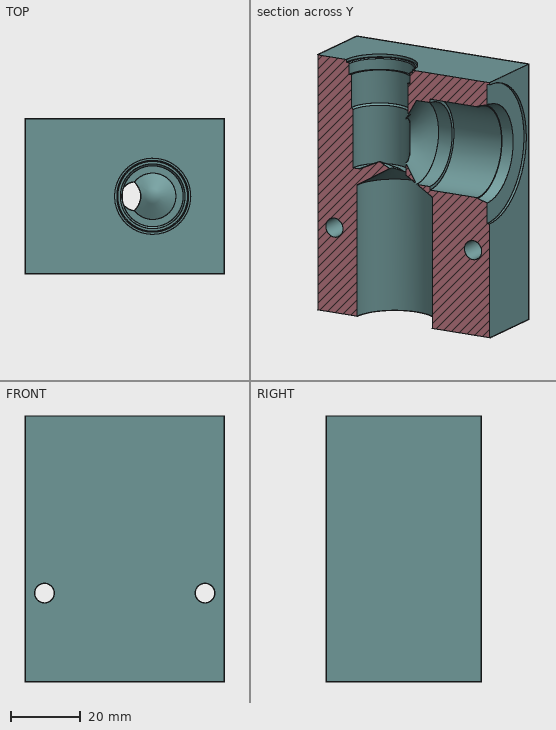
import cadquery as cq
import math

length_x = 57.15
width_y = 44.45
height_z = 76.2
left_x = -length_x / 2
top_z = height_z / 2
bottom_z = -height_z / 2

drill_half_angle = math.radians(59)
drill_slope = 1 / math.tan(drill_half_angle)

mount_diameter = 5.56
mount_spacing = 46.0
mount_height = 25.4

side_axis_z = top_z - 21.43
side_spotface_diameter = 41.45
side_spotface_depth = 0.8
side_mouth_diameter = 29.2
side_seal_diameter = 27.43
side_thread_diameter = 26.99
side_bore_diameter = 24.92
side_seal_depth = 4.0
side_thread_depth = 19.8
side_bore_depth = 24.3

cavity_x = 8.0
cavity_mouth_diameter = 21.82
cavity_mouth_depth = 0.8
cavity_lead_in_diameter = 20.62
cavity_seat_diameter = 19.99
cavity_seat_depth = 4.3
cavity_body_diameter = 18.54
cavity_body_depth = 14.1
cavity_nose_diameter = 17.45
cavity_nose_depth = 32.0
cavity_floor_cone_diameter = 13.3
cavity_floor_cone_height = 3.15

bottom_port_x = 3.0
bottom_port_diameter = side_bore_diameter
floor_opening_radius = 4.1


def drill_rise(diameter):
    """Height of a drill point over the given diameter."""
    return diameter / 2 * drill_slope


def turned_tool(profile):
    """Solid of revolution about Z from (diameter, depth) points; depth runs down from Z = 0."""
    points = [(diameter / 2, -depth) for diameter, depth in profile]
    return cq.Workplane("XZ").polyline(points).close().revolve(360, (0, 0), (0, 1))


def side_port():
    tip_depth = side_bore_depth + drill_rise(side_bore_diameter)
    profile = [
        (0, 0),
        (side_spotface_diameter, 0),
        (side_spotface_diameter, side_spotface_depth),
        (side_mouth_diameter, side_spotface_depth),
        (side_seal_diameter, side_seal_depth),
        (side_thread_diameter, side_seal_depth),
        (side_thread_diameter, side_thread_depth),
        (side_bore_diameter, side_thread_depth),
        (side_bore_diameter, side_bore_depth),
        (0, tip_depth),
    ]
    tool = turned_tool(profile).rotate((0, 0, 0), (0, 1, 0), -90)
    return tool.translate((left_x, 0, side_axis_z))


def cartridge_cavity():
    seat_chamfer = (cavity_lead_in_diameter - cavity_seat_diameter) / 2
    nose_chamfer = (cavity_body_diameter - cavity_nose_diameter) / 2
    profile = [
        (0, 0),
        (cavity_mouth_diameter, 0),
        (cavity_mouth_diameter, cavity_mouth_depth),
        (cavity_lead_in_diameter, cavity_mouth_depth),
        (cavity_seat_diameter, cavity_mouth_depth + seat_chamfer),
        (cavity_seat_diameter, cavity_seat_depth),
        (cavity_body_diameter, cavity_seat_depth),
        (cavity_body_diameter, cavity_body_depth),
        (cavity_nose_diameter, cavity_body_depth + nose_chamfer),
        (cavity_nose_diameter, cavity_nose_depth),
        (cavity_floor_cone_diameter, cavity_nose_depth),
        (0, cavity_nose_depth - cavity_floor_cone_height),
    ]
    return turned_tool(profile).translate((cavity_x, 0, top_z))


def bottom_port():
    floor_z = top_z - cavity_nose_depth
    tip_height = floor_z + floor_opening_radius * drill_slope - bottom_z
    bore_height = tip_height - drill_rise(bottom_port_diameter)
    profile = [
        (0, 0),
        (bottom_port_diameter, 0),
        (bottom_port_diameter, -bore_height),
        (0, -tip_height),
    ]
    return turned_tool(profile).translate((bottom_port_x, 0, bottom_z))


def mounting_holes():
    half_spacing = mount_spacing / 2
    return (
        cq.Workplane("XZ", origin=(0, width_y / 2, bottom_z + mount_height))
        .pushPoints([(-half_spacing, 0), (half_spacing, 0)])
        .circle(mount_diameter / 2)
        .extrude(width_y)
    )


result = cq.Workplane("XY").box(length_x, width_y, height_z)
for cutter in (side_port(), cartridge_cavity(), bottom_port(), mounting_holes()):
    result = result.cut(cutter)